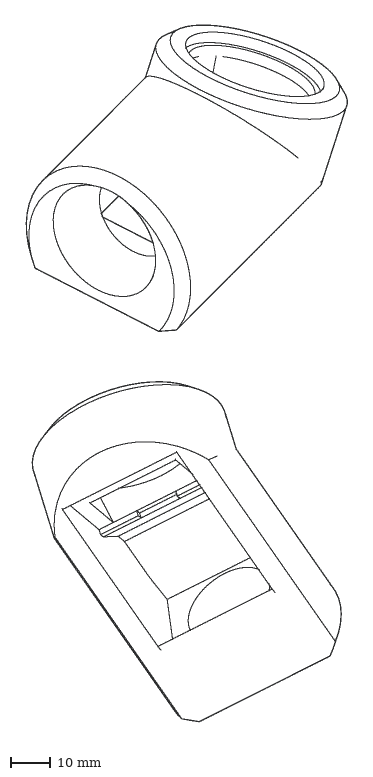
import cadquery as cq
import math

LENGTH = 90.4
PIPE_DIAMETER = 51.3
AXIS_HEIGHT = 11.7
EDGE_CHAMFER = 3.0
OUTLET_TILT = math.radians(30)
OUTLET_HEIGHT = 19.2
FACE_TILT = math.radians(10)

COUNTERBORE_DIAMETER = 37.1
BORE_DIAMETER = 34.0
STEP_DEPTH = 3.0
OPENING_WIDTH = 25.5
OPENING_LENGTH = 13.6
OPENING_OFFSET = 0.7

ENTRY_RISE = 19.2
ENTRY_DIAMETER = 32.0
HOLE_DIAMETER = 24.0
CONE_DEPTH = 14.5
HOLE_LENGTH = 0.5

CHAMBER_WIDTH = BORE_DIAMETER
CEILING_HEIGHT = 27.6
CEILING_RISE = 13.1
FLOOR_DROP = 14.8
LIP_THICKNESS = 1.5
LIP_WIDTH = 1.6
LIP_GAP = 11.6
SLOPE_HEIGHT = 10.6
SLOPE_ANGLE = math.radians(45) - FACE_TILT

PIPE_RADIUS = PIPE_DIAMETER / 2
OVERSIZE = 2 * LENGTH

outlet_axis = (math.sin(OUTLET_TILT), math.cos(OUTLET_TILT))
outlet_back = (math.cos(OUTLET_TILT), -math.sin(OUTLET_TILT))
entry_axis = (math.cos(FACE_TILT), -math.sin(FACE_TILT))
face_up = (math.sin(FACE_TILT), math.cos(FACE_TILT))
mitre_normal = (math.cos(OUTLET_TILT), math.sin(OUTLET_TILT))
axes_cross = (
    LENGTH - PIPE_RADIUS * outlet_back[0] - (OUTLET_HEIGHT - EDGE_CHAMFER) * outlet_axis[0],
    AXIS_HEIGHT,
)
entry_centre = (ENTRY_RISE * face_up[0], ENTRY_RISE * face_up[1])


def shifted(point, direction, distance):
    """Point moved along a direction, in the plane of symmetry."""
    return (point[0] + distance * direction[0], point[1] + distance * direction[1])


def meeting(point_a, direction_a, point_b, direction_b):
    """Point where two lines in the plane of symmetry cross."""
    across = direction_a[0] * direction_b[1] - direction_a[1] * direction_b[0]
    gap_y = point_b[0] - point_a[0]
    gap_z = point_b[1] - point_a[1]
    return shifted(point_a, direction_a, (gap_y * direction_b[1] - gap_z * direction_b[0]) / across)


opening_centre = shifted(axes_cross, outlet_axis, OPENING_OFFSET)


def plane_at(point, normal):
    """Workplane through a point of the plane of symmetry, facing along the normal."""
    return cq.Workplane(cq.Plane((0, *point), (1, 0, 0), (0, *normal)))


def half_space(point, normal):
    """Large block on the side of a plane that the normal points to."""
    return plane_at(point, normal).rect(OVERSIZE, OVERSIZE).extrude(OVERSIZE)


def horizontal_pipe():
    """Pipe along Y with the leaning, chamfered front face, ending at the mitre."""
    section = plane_at((-LENGTH, AXIS_HEIGHT), (1, 0)).transformed(rotate=(0, 0, 90))
    pipe = section.circle(PIPE_RADIUS).extrude(OVERSIZE)
    pipe = pipe.intersect(half_space((0, 0), entry_axis))
    pipe = pipe.faces("<Y").edges().chamfer(EDGE_CHAMFER)
    return pipe.cut(half_space(axes_cross, mitre_normal))


def outlet_pipe():
    """Tilted pipe with a chamfered rim, starting at the mitre."""
    start = shifted(axes_cross, outlet_axis, -LENGTH)
    pipe = plane_at(start, outlet_axis).circle(PIPE_RADIUS).extrude(LENGTH + OUTLET_HEIGHT)
    pipe = pipe.faces(">Z").edges().chamfer(EDGE_CHAMFER)
    return pipe.intersect(half_space(axes_cross, mitre_normal))


def outlet_bore():
    """Counterbore, bore and the transition from round to rectangular."""
    rim = shifted(axes_cross, outlet_axis, OUTLET_HEIGHT)
    step = shifted(rim, outlet_axis, -STEP_DEPTH)
    bore_end = shifted(step, outlet_axis, -STEP_DEPTH)
    counterbore = plane_at(step, outlet_axis).circle(COUNTERBORE_DIAMETER / 2).extrude(STEP_DEPTH)
    bore = plane_at(bore_end, outlet_axis).circle(BORE_DIAMETER / 2).extrude(STEP_DEPTH)
    transition_height = OUTLET_HEIGHT - 2 * STEP_DEPTH - OPENING_OFFSET
    transition = (
        plane_at(opening_centre, outlet_axis)
        .rect(OPENING_WIDTH, OPENING_LENGTH)
        .workplane(offset=transition_height)
        .circle(BORE_DIAMETER / 2)
        .loft()
    )
    return counterbore.union(bore).union(transition)


def front_entry():
    """Cone and short round hole, square to the front face."""
    cone = (
        plane_at(entry_centre, entry_axis)
        .circle(ENTRY_DIAMETER / 2)
        .workplane(offset=CONE_DEPTH)
        .circle(HOLE_DIAMETER / 2)
        .loft()
    )
    hole = plane_at(entry_centre, entry_axis).circle(HOLE_DIAMETER / 2).extrude(CONE_DEPTH + HOLE_LENGTH)
    return cone.union(hole)


def chamber():
    """Flat-sided chamber from the front entry to below the rectangular opening."""
    front_centre = shifted(entry_centre, entry_axis, CONE_DEPTH + HOLE_LENGTH)
    floor_front = shifted(front_centre, face_up, -FLOOR_DROP)
    ceiling_front = shifted(front_centre, face_up, CEILING_RISE)
    floor_end = meeting(floor_front, entry_axis, (0, 0), (1, 0))

    opening_front = shifted(opening_centre, outlet_back, -OPENING_LENGTH / 2)
    lip_edge = shifted(opening_front, outlet_axis, -LIP_THICKNESS)
    lip_front = shifted(lip_edge, outlet_back, -LIP_WIDTH)
    slope_up = (-math.sin(SLOPE_ANGLE), math.cos(SLOPE_ANGLE))
    slope_top = shifted(lip_front, slope_up, SLOPE_HEIGHT / slope_up[1])
    ceiling_end = meeting(ceiling_front, entry_axis, (0, CEILING_HEIGHT), (1, 0))
    ceiling_back = meeting(slope_top, outlet_back, (0, CEILING_HEIGHT), (1, 0))
    back_top = shifted(opening_centre, outlet_back, BORE_DIAMETER / 2)
    back_bottom = meeting(back_top, outlet_axis, (0, 0), (1, 0))

    outline = [
        floor_front, floor_end, back_bottom, back_top, opening_front, lip_edge,
        lip_front, slope_top, ceiling_back, ceiling_end, ceiling_front,
    ]
    return cq.Workplane("YZ").polyline(outline).close().extrude(CHAMBER_WIDTH / 2, both=True)


def lip_gap():
    """Gap through the middle of the lip."""
    middle = shifted(opening_centre, outlet_back, -(OPENING_LENGTH + LIP_WIDTH) / 2)
    return plane_at(middle, outlet_axis).rect(LIP_GAP, LIP_WIDTH).extrude(-LIP_THICKNESS)


result = horizontal_pipe().union(outlet_pipe())
result = result.intersect(half_space((0, 0), (0, 1)))
result = result.cut(outlet_bore()).cut(front_entry()).cut(chamber()).cut(lip_gap())